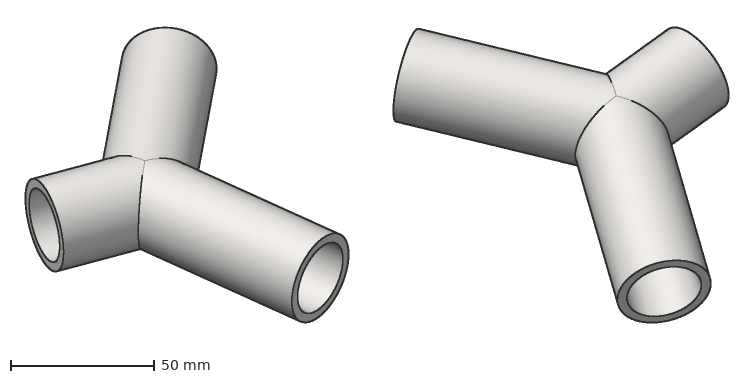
import cadquery as cq
import math

span = 148.7
depth = 90.7
outer_diameter = 33.5
bore_diameter = 26.6
arm_angle = 30.0

outer_radius = outer_diameter / 2
cos_arm = math.cos(math.radians(arm_angle))
sin_arm = math.sin(math.radians(arm_angle))
arm_length = (span / 2 - outer_radius * sin_arm) / cos_arm
arm_tip_y = arm_length * sin_arm + outer_radius * cos_arm
stem_length = depth - arm_tip_y

branches = [
    (arm_angle, arm_length),
    (180 - arm_angle, arm_length),
    (270, stem_length),
]


def branch_cylinder(diameter, angle, length):
    """Cylinder running outward from the junction in the XY plane."""
    direction = cq.Vector(math.cos(math.radians(angle)), math.sin(math.radians(angle)), 0)
    return cq.Workplane(cq.Solid.makeCylinder(diameter / 2, length, cq.Vector(0, 0, 0), direction))


def joined_branches(diameter):
    """Three equal cylinders, 120 degrees apart, joined at the origin."""
    body = cq.Workplane("XY")
    for angle, length in branches:
        body = body.add(branch_cylinder(diameter, angle, length))
    return body.combine()


result = joined_branches(outer_diameter).cut(joined_branches(bore_diameter))